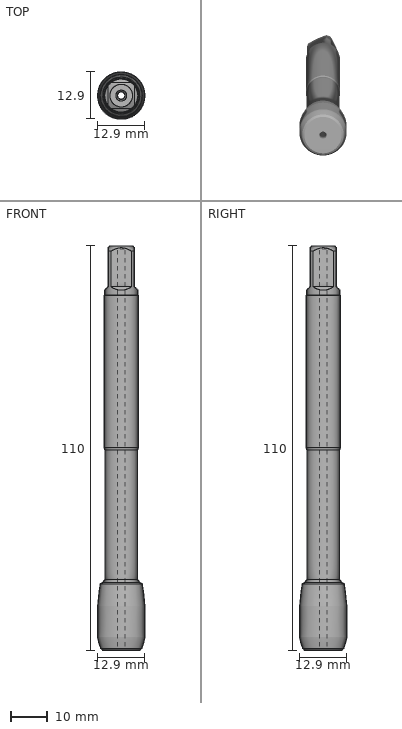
import cadquery as cq
import math

total_length = 110.0
bore_diameter = 2.0
countersink_diameter = 3.0
countersink_angle = 60.0

head_diameter = 12.9
head_bottom_diameter = 10.1
head_bottom_edge_diameter = 11.2
head_bottom_edge_height = 0.5
head_lower_edge_height = 3.5
head_upper_edge_height = 12.0
head_shoulder_diameter = 11.4
head_shoulder_height = 18.0
head_cone_height = 18.5
flank_bulge = 0.09
head_cone_diameter = 10.0
head_top_height = 19.2

neck_diameter = 8.9
shank_diameter = 9.4
collar_diameter = 9.0
neck_top_height = 54.5
shank_bottom_height = 55.1
shank_top_height = 96.5
collar_bottom_height = 96.7

square_width = 7.2
flat_count = 4
quarter_turn = 360 / flat_count
square_bottom_height = 98.9
end_face_diameter = 6.2
end_cone_angle = 45.0


def bulged_midpoint(start, end, bulge):
    """Point lying outward of the middle of a flank by the given bulge."""
    return ((start[0] + end[0]) / 2 + bulge, (start[1] + end[1]) / 2)


def make_bore(bottom, top):
    """Cylinder that clears the coolant bore between two heights."""
    return cq.Workplane("XY").workplane(offset=bottom).circle(bore_diameter / 2).extrude(top - bottom)


def make_head():
    """Barrel-shaped head with curved flanks above and below its cylindrical band."""
    radius = head_diameter / 2
    bottom_edge = (head_bottom_edge_diameter / 2, head_bottom_edge_height)
    lower_edge = (radius, head_lower_edge_height)
    upper_edge = (radius, head_upper_edge_height)
    shoulder = (head_shoulder_diameter / 2, head_shoulder_height)
    body = (
        cq.Workplane("XZ")
        .lineTo(head_bottom_diameter / 2, 0)
        .lineTo(*bottom_edge)
        .threePointArc(bulged_midpoint(bottom_edge, lower_edge, flank_bulge), lower_edge)
        .lineTo(*upper_edge)
        .threePointArc(bulged_midpoint(upper_edge, shoulder, flank_bulge), shoulder)
        .lineTo(head_cone_diameter / 2, head_cone_height)
        .lineTo(neck_diameter / 2, head_top_height)
        .lineTo(0, head_top_height)
        .close()
        .revolve(360, (0, 0), (0, 1))
    )
    return body.cut(make_bore(0, head_top_height))


def make_turned_shaft():
    """Neck, shank, collar and conical tip as one turned blank."""
    collar_radius = collar_diameter / 2
    end_radius = end_face_diameter / 2
    cone_length = (collar_radius - end_radius) / math.tan(math.radians(end_cone_angle))
    return (
        cq.Workplane("XZ")
        .moveTo(0, head_top_height)
        .lineTo(neck_diameter / 2, head_top_height)
        .lineTo(neck_diameter / 2, neck_top_height)
        .lineTo(shank_diameter / 2, shank_bottom_height)
        .lineTo(shank_diameter / 2, shank_top_height)
        .lineTo(collar_radius, collar_bottom_height)
        .lineTo(collar_radius, total_length - cone_length)
        .lineTo(end_radius, total_length)
        .lineTo(0, total_length)
        .close()
        .revolve(360, (0, 0), (0, 1))
    )


def make_flat_cutter():
    """Material removed for one drive flat, ending below in a 45 degree run-out."""
    flat = square_width / 2
    outside = collar_diameter
    run_out = outside - flat
    return (
        cq.Workplane("XZ")
        .moveTo(flat, total_length)
        .lineTo(flat, square_bottom_height)
        .lineTo(outside, square_bottom_height - run_out)
        .lineTo(outside, total_length)
        .close()
        .extrude(collar_diameter, both=True)
    )


def make_countersink():
    """Cone that opens the bore at the upper end face."""
    radius = countersink_diameter / 2
    depth = radius / math.tan(math.radians(countersink_angle / 2))
    return (
        cq.Workplane("XZ")
        .moveTo(0, total_length - depth)
        .lineTo(radius, total_length)
        .lineTo(0, total_length)
        .close()
        .revolve(360, (0, 0), (0, 1))
    )


def make_shaft():
    """Turned shaft with its square drive, bore and countersink."""
    body = make_turned_shaft()
    flat_cutter = make_flat_cutter()
    drive_zone = (
        cq.Workplane("XY")
        .workplane(offset=collar_bottom_height)
        .circle(collar_diameter)
        .extrude(total_length - collar_bottom_height)
    )
    flat_cutter = flat_cutter.intersect(drive_zone)
    for quarter in range(flat_count):
        body = body.cut(flat_cutter.rotate((0, 0, 0), (0, 0, 1), quarter_turn * quarter))
    return body.cut(make_bore(head_top_height, total_length)).cut(make_countersink())


head = make_head()
shaft = make_shaft()

result = cq.Compound.makeCompound([head.val(), shaft.val()])